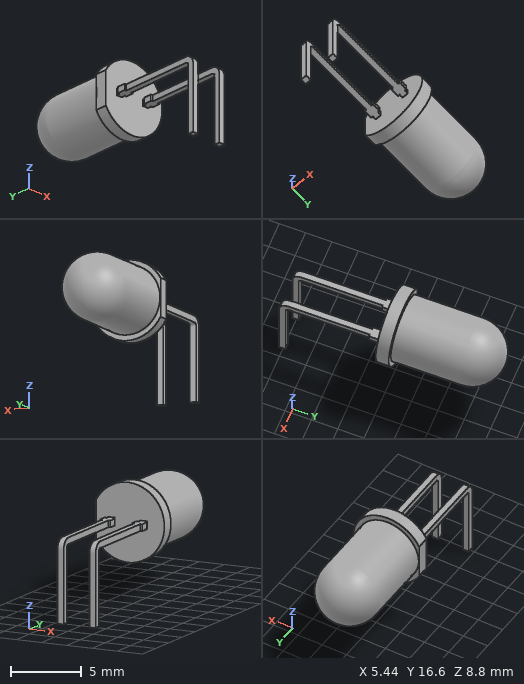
import cadquery as cq
import math

BODY_DIAMETER = 5.0
BODY_LENGTH = 8.7
FLANGE_DIAMETER = 5.8
FLANGE_THICKNESS = 1.0
FLAT_OFFSET = 2.54

LEAD_PITCH = 2.54
LEAD_SIZE = 0.5
LEAD_REACH = 7.87
LEAD_DROP = 5.9
BEND_INNER_RADIUS = 0.25

STOP_WIDTH = 0.8
STOP_START = 0.3
STOP_LENGTH = 0.7

body_radius = BODY_DIAMETER / 2
flange_radius = FLANGE_DIAMETER / 2
half_lead = LEAD_SIZE / 2


def make_lens():
    """Flange, cylinder and hemispherical dome revolved about the Y axis."""
    dome_start = BODY_LENGTH - body_radius
    dome_mid = body_radius * math.sin(math.pi / 4)
    return (
        cq.Workplane("YZ")
        .lineTo(0, -flange_radius)
        .lineTo(FLANGE_THICKNESS, -flange_radius)
        .lineTo(FLANGE_THICKNESS, -body_radius)
        .lineTo(dome_start, -body_radius)
        .threePointArc((dome_start + dome_mid, -dome_mid), (BODY_LENGTH, 0))
        .close()
        .revolve(360, (0, 0, 0), (1, 0, 0))
    )


def cut_flat(lens):
    """Trim the -X side of the flange to a flat."""
    trim = cq.Workplane("XY").box(
        flange_radius, FLANGE_THICKNESS, FLANGE_DIAMETER, centered=(False, False, True)
    )
    return lens.cut(trim.translate((-FLAT_OFFSET - flange_radius, 0, 0)))


def make_lead(x):
    """Square lead running back from the flange, bent down, with its stop."""
    leg_front = -LEAD_REACH + LEAD_SIZE
    wire = (
        cq.Workplane("YZ")
        .moveTo(0, half_lead)
        .lineTo(-LEAD_REACH, half_lead)
        .lineTo(-LEAD_REACH, -LEAD_DROP)
        .lineTo(leg_front, -LEAD_DROP)
        .lineTo(leg_front, -half_lead)
        .lineTo(0, -half_lead)
        .close()
        .extrude(half_lead, both=True)
    )
    outer_corner = cq.selectors.NearestToPointSelector((0, -LEAD_REACH, half_lead))
    inner_corner = cq.selectors.NearestToPointSelector((0, leg_front, -half_lead))
    wire = wire.edges("|X").edges(inner_corner).fillet(BEND_INNER_RADIUS)
    wire = wire.edges("|X").edges(outer_corner).fillet(BEND_INNER_RADIUS + LEAD_SIZE)

    stop_center = -STOP_START - STOP_LENGTH / 2
    stop = cq.Workplane("XY").box(STOP_WIDTH, STOP_LENGTH, LEAD_SIZE).translate((0, stop_center, 0))
    return wire.union(stop).translate((x, 0, 0))


result = cut_flat(make_lens())
for lead_x in (-LEAD_PITCH / 2, LEAD_PITCH / 2):
    result = result.union(make_lead(lead_x))